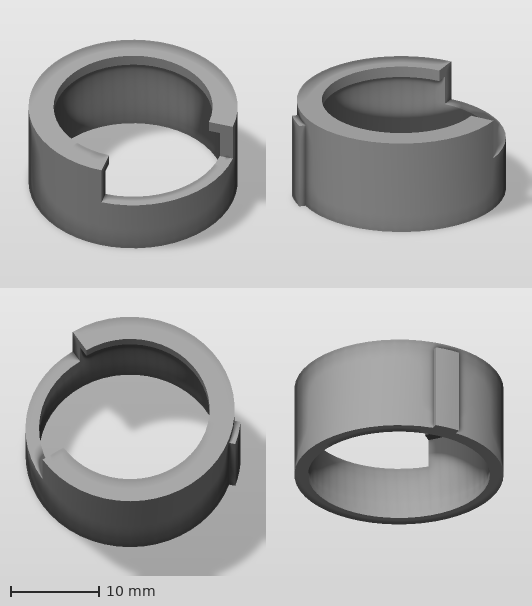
import cadquery as cq

outer_diameter = 23.68
bore_diameter = 20.6
height = 11.0

lip_diameter = 18.0
lip_thickness = 1.3

notch_depth = 4.7

key_angle = 135.0
key_width = 2.91
key_face_radius = 12.55
key_top_gap = 1.0

outer_radius = outer_diameter / 2
bore_radius = bore_diameter / 2


def make_ring():
    """Round sleeve whose bore narrows to a lip at the top."""
    body = cq.Workplane("XY").circle(outer_radius).extrude(height)
    bore = cq.Workplane("XY").circle(bore_radius).extrude(height - lip_thickness)
    lip_opening = cq.Workplane("XY").circle(lip_diameter / 2).extrude(height)
    return body.cut(bore).cut(lip_opening)


def make_notch():
    """Block that removes one quadrant of the upper wall and lip."""
    return (
        cq.Workplane("XY", origin=(0, 0, height - notch_depth))
        .rect(outer_diameter, -outer_diameter, centered=False)
        .extrude(notch_depth)
    )


def make_key():
    """Parallel-sided key with a curved face, rooted inside the wall."""
    root_radius = (outer_radius + bore_radius) / 2
    key_height = height - key_top_gap
    key_length = key_face_radius - root_radius
    blank = (
        cq.Workplane("XY")
        .center(root_radius + key_length / 2, 0)
        .rect(key_length, key_width)
        .extrude(key_height)
    )
    face_cylinder = cq.Workplane("XY").circle(key_face_radius).extrude(key_height)
    return blank.intersect(face_cylinder).rotate((0, 0, 0), (0, 0, 1), key_angle)


result = make_ring().cut(make_notch()).union(make_key())